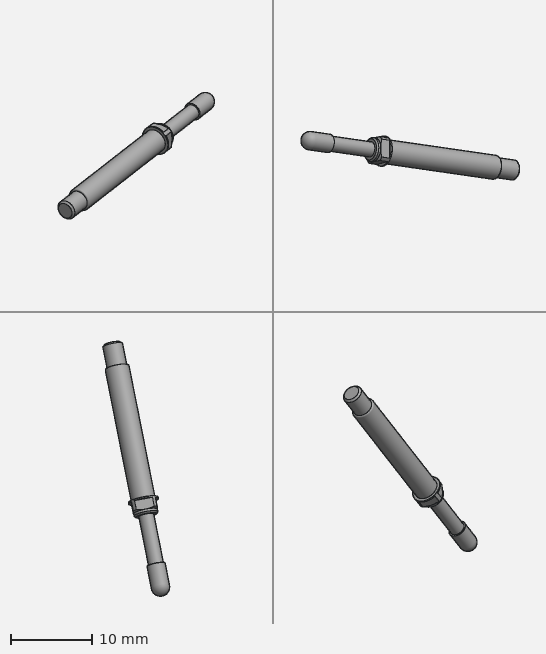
import cadquery as cq
import math


sleeve_radius = 1.5
sleeve_length = 17.0
sleeve_end_fillet = 0.2

tail_radius = 1.25
tail_length = 3.0
tail_chamfer = 0.25

flange_radius = 1.875
flange_thickness = 0.2
collar_top = 2.0
collar_edge_chamfer = 0.2
square_width = 2 * sleeve_radius
square_top = 1.5
square_taper_angle = 68.0

plunger_radius = 0.95
head_radius = 1.15
head_length = 4.0
total_length = 32.3
tip_y = total_length - sleeve_length - tail_length
head_base_y = tip_y - head_length


def turned_about_y(outline):
    """Revolve a closed (radius, Y) outline a full turn about the Y axis."""
    return outline.close().revolve(360, (0, 0, 0), (0, 1, 0))


def make_tail_and_sleeve():
    """Stepped barrel from the tail end up to the front of the collar."""
    sleeve_end = -sleeve_length
    tail_end = sleeve_end - tail_length
    fillet_mid = sleeve_end_fillet * (1 - math.sqrt(0.5))
    outline = (
        cq.Workplane("XY")
        .moveTo(0, tail_end)
        .lineTo(tail_radius - tail_chamfer, tail_end)
        .lineTo(tail_radius, tail_end + tail_chamfer)
        .lineTo(tail_radius, sleeve_end)
        .lineTo(sleeve_radius - sleeve_end_fillet, sleeve_end)
        .threePointArc(
            (sleeve_radius - fillet_mid, sleeve_end + fillet_mid),
            (sleeve_radius, sleeve_end + sleeve_end_fillet),
        )
        .lineTo(sleeve_radius, collar_top - collar_edge_chamfer)
        .lineTo(sleeve_radius - collar_edge_chamfer, collar_top)
        .lineTo(0, collar_top)
    )
    return turned_about_y(outline)


def make_flange():
    """Thin round flange that seats on the Y = 0 plane."""
    outline = (
        cq.Workplane("XY")
        .lineTo(flange_radius, 0)
        .lineTo(flange_radius, flange_thickness)
        .lineTo(0, flange_thickness)
    )
    return turned_about_y(outline)


def make_square_collar():
    """Square section with corners rounded to the flange and tapered at the front."""
    taper_length = (flange_radius - sleeve_radius) / math.tan(math.radians(square_taper_angle))
    outline = (
        cq.Workplane("XY")
        .lineTo(flange_radius, 0)
        .lineTo(flange_radius, square_top - taper_length)
        .lineTo(sleeve_radius, square_top)
        .lineTo(0, square_top)
    )
    square_bar = cq.Workplane("XY").box(square_width, 2 * square_top, square_width)
    return turned_about_y(outline).intersect(square_bar)


def make_plunger():
    """Slim shaft carrying a thicker head with a hemispherical tip."""
    dome_base_y = tip_y - head_radius
    dome_mid = head_radius * math.sqrt(0.5)
    outline = (
        cq.Workplane("XY")
        .lineTo(plunger_radius, 0)
        .lineTo(plunger_radius, head_base_y)
        .lineTo(head_radius, head_base_y)
        .lineTo(head_radius, dome_base_y)
        .threePointArc((dome_mid, dome_base_y + dome_mid), (0, tip_y))
    )
    return turned_about_y(outline)


result = (
    make_tail_and_sleeve()
    .union(make_flange())
    .union(make_square_collar())
    .union(make_plunger())
)